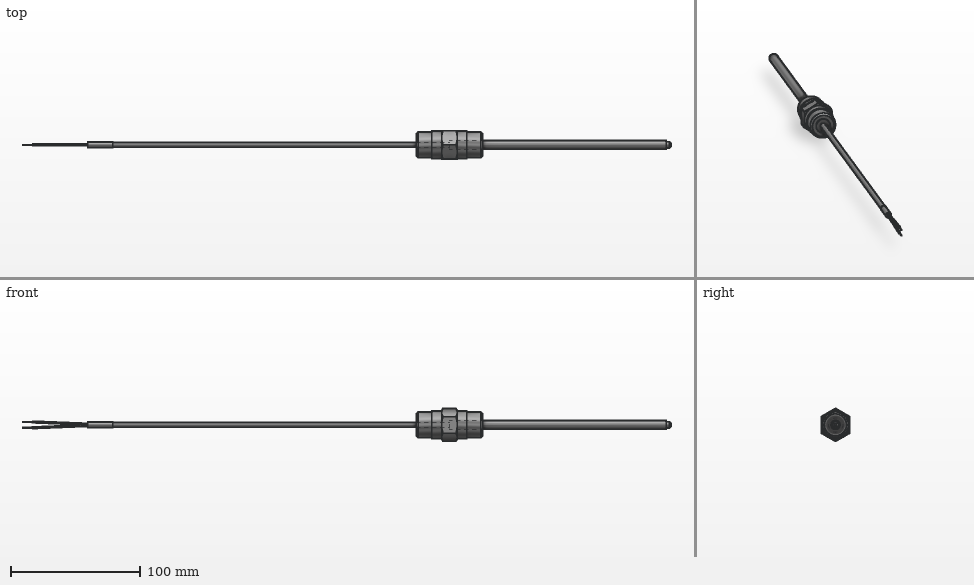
import cadquery as cq
import math

TOTAL_LENGTH = 501.5
BARE_END = 7.5
WIRE_END = 50.0
SLEEVE_END = 69.5
FITTING_CENTER = 330.0
TIP_START = 497.5

BARE_DIAMETER = 0.5
WIRE_DIAMETER = 1.4
WIRE_HALF_SPREAD = 2.25
WIRE_END_HALF_SPREAD = 0.5
WIRE_OVERLAP = 1.0
SLEEVE_DIAMETER = 4.5
CABLE_DIAMETER = 4.0
SHEATH_DIAMETER = 7.0
TIP_DIAMETER = 5.0
TIP_CHAMFER = 1.5

FITTING_LENGTH = 51.0
END_DIAMETER = 20.0
END_CHAMFER = 1.5
COLLAR_LENGTH = 27.0
COLLAR_DIAMETER = 21.5
HEX_LENGTH = 12.0
HEX_ACROSS_FLATS = 22.0
HEX_ACROSS_CORNERS = HEX_ACROSS_FLATS / math.cos(math.pi / 6)
HEX_CHAMFER_ANGLE = 30.0
RECESS_DIAMETER = 11.0
RECESS_DEPTH = 1.0

FITTING_START = FITTING_CENTER - FITTING_LENGTH / 2


def rod(start, end, diameter):
    """Cylinder on the X axis between two stations."""
    return cq.Workplane("YZ", origin=(start, 0, 0)).circle(diameter / 2).extrude(end - start)


def straight_wire(start, end, diameter):
    """Round wire between two (x, z) points in the XZ plane."""
    run = cq.Vector(end[0] - start[0], 0, end[1] - start[1])
    origin = cq.Vector(start[0], 0, start[1])
    return cq.Workplane(cq.Solid.makeCylinder(diameter / 2, run.Length, origin, run))


def make_wire(side):
    """Insulated wire converging toward the sleeve, with a straight stripped end."""
    root = (WIRE_END + WIRE_OVERLAP, side * WIRE_END_HALF_SPREAD)
    strip = (BARE_END, side * WIRE_HALF_SPREAD)
    insulation = straight_wire(strip, root, WIRE_DIAMETER)
    bare_root = (BARE_END + WIRE_OVERLAP, side * WIRE_HALF_SPREAD)
    bare = straight_wire((0, side * WIRE_HALF_SPREAD), bare_root, BARE_DIAMETER)
    return insulation.union(bare)


def make_probe():
    """Sheath with reduced tip, cable, cable sleeve and two wires, as one body."""
    sheath = rod(FITTING_CENTER, TIP_START, SHEATH_DIAMETER)
    tip = rod(TIP_START, TOTAL_LENGTH, TIP_DIAMETER).faces(">X").chamfer(TIP_CHAMFER)
    cable = rod(SLEEVE_END, FITTING_CENTER, CABLE_DIAMETER)
    sleeve = rod(WIRE_END, SLEEVE_END, SLEEVE_DIAMETER)
    probe = sheath.union(tip).union(cable).union(sleeve)
    for side in (-1, 1):
        probe = probe.union(make_wire(side))
    return probe


def make_hexagon():
    """Hexagon with corners at +Z and -Z, its corners turned down at both ends."""
    half = HEX_LENGTH / 2
    flat_radius = HEX_ACROSS_FLATS / 2
    corner_radius = HEX_ACROSS_CORNERS / 2
    drop = (corner_radius - flat_radius) * math.tan(math.radians(HEX_CHAMFER_ANGLE))
    prism = (
        cq.Workplane("YZ", origin=(FITTING_CENTER - half, 0, 0))
        .transformed(rotate=(0, 0, 90))
        .polygon(6, HEX_ACROSS_CORNERS)
        .extrude(HEX_LENGTH)
    )
    envelope = (
        cq.Workplane("XZ", origin=(FITTING_CENTER, 0, 0))
        .moveTo(-half, 0)
        .lineTo(-half, flat_radius)
        .lineTo(-half + drop, corner_radius)
        .lineTo(half - drop, corner_radius)
        .lineTo(half, flat_radius)
        .lineTo(half, 0)
        .close()
        .revolve(360, (0, 0), (1, 0))
    )
    return prism.intersect(envelope)


def make_fitting():
    """Compression fitting with a recessed cable hole meeting the sheath bore at mid-length."""
    fitting_end = FITTING_START + FITTING_LENGTH
    collar_start = FITTING_CENTER - COLLAR_LENGTH / 2
    ends = rod(FITTING_START, fitting_end, END_DIAMETER).faces("<X or >X").chamfer(END_CHAMFER)
    collar = rod(collar_start, collar_start + COLLAR_LENGTH, COLLAR_DIAMETER)
    sheath_bore = rod(FITTING_CENTER, fitting_end, SHEATH_DIAMETER)
    cable_hole = rod(FITTING_START, FITTING_CENTER, CABLE_DIAMETER)
    recess = rod(FITTING_START, FITTING_START + RECESS_DEPTH, RECESS_DIAMETER)
    blank = ends.union(collar).union(make_hexagon())
    return blank.cut(sheath_bore).cut(cable_hole).cut(recess)


probe = make_probe()
fitting = make_fitting()

result = cq.Compound.makeCompound([probe.solids().val(), fitting.solids().val()])